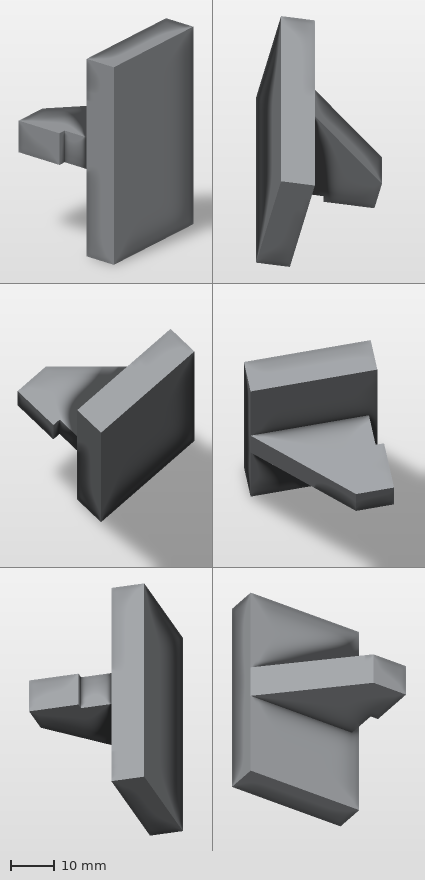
import cadquery as cq

plate_thickness = 8.0
plate_width = 30.0
plate_height = 50.0

rib_length = 20.0
rib_thickness = 8.0
rib_tip_width = 9.0

notch_length = 8.0
notch_depth = 2.0


def make_plate():
    """Plate with its -X face on X = 0 and its -Y bottom edge on Y = Z = 0."""
    return cq.Workplane("XY").box(plate_thickness, plate_width, plate_height, centered=False)


def make_rib():
    """Tapered rib: full plate width at the plate, narrowing to the tip."""
    rib_bottom = (plate_height - rib_thickness) / 2
    return (
        cq.Workplane("XY", origin=(0, 0, rib_bottom))
        .moveTo(0, plate_width)
        .lineTo(-rib_length, rib_tip_width)
        .lineTo(-rib_length, 0)
        .lineTo(-notch_length, 0)
        .lineTo(-notch_length, notch_depth)
        .lineTo(0, notch_depth)
        .close()
        .extrude(rib_thickness)
    )


result = make_plate().union(make_rib())